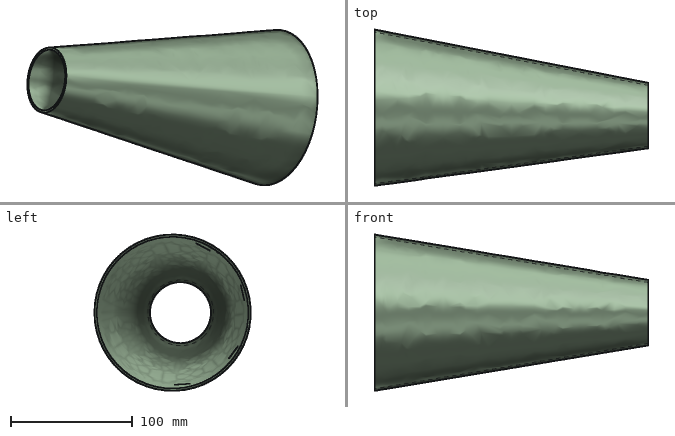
import cadquery as cq

length = 225.0
large_outer_diameter = 128.68
small_inner_diameter = 50.0
wall = 2.0

small_end_offset_y = -6.5

large_inner_diameter = large_outer_diameter - 2 * wall
small_outer_diameter = small_inner_diameter + 2 * wall


def oblique_cone(large_diameter, small_diameter):
    """Solid along +X between two parallel circles with offset centres."""
    return (
        cq.Workplane("YZ")
        .circle(large_diameter / 2)
        .workplane(offset=length)
        .center(small_end_offset_y, 0)
        .circle(small_diameter / 2)
        .loft(ruled=True)
    )


outer_cone = oblique_cone(large_outer_diameter, small_outer_diameter)
inner_cone = oblique_cone(large_inner_diameter, small_inner_diameter)

result = outer_cone.cut(inner_cone)